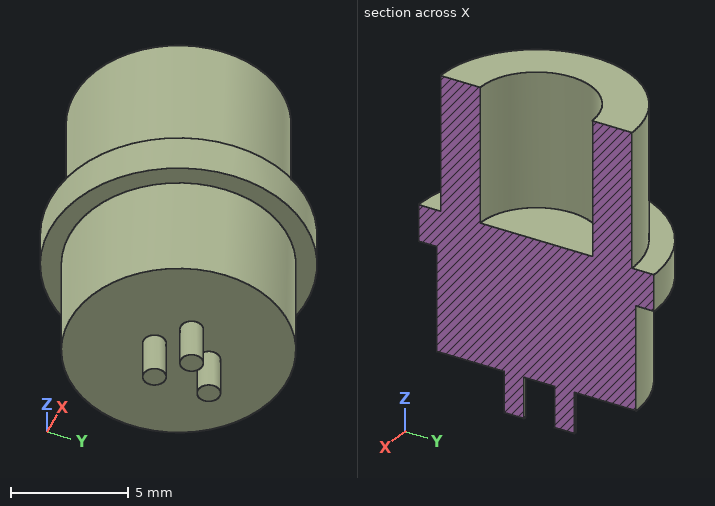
import cadquery as cq

lower_diameter = 10.0
lower_height = 5.1
flange_diameter = 11.8
flange_height = 1.8
upper_diameter = 9.6
upper_height = 6.6
body_height = lower_height + flange_height + upper_height

bore_diameter = 5.6
bore_depth = upper_height

pin_diameter = 1.0
pin_length = 2.0
pin_overlap = 0.5
side_pin_offset = 1.4
front_pin_offset = 1.12
pin_centres = [
    (0, side_pin_offset),
    (side_pin_offset, 0),
    (0, -front_pin_offset),
]


def cylinder(diameter, height, bottom, centre=(0, 0)):
    """Upright cylinder whose lower face is at Z = bottom."""
    disc = cq.Workplane("XY", origin=(centre[0], centre[1], bottom)).circle(diameter / 2)
    return disc.extrude(height)


def stepped_body():
    """Lower barrel, flange and upper barrel on one axis."""
    lower = cylinder(lower_diameter, lower_height, 0)
    flange = cylinder(flange_diameter, flange_height, lower_height)
    upper = cylinder(upper_diameter, upper_height, lower_height + flange_height)
    return lower.union(flange).union(upper)


def bore():
    """Round cutter for the blind bore in the top face."""
    return cylinder(bore_diameter, bore_depth, body_height - bore_depth)


def pin(centre):
    """One contact pin, running from its free end into the body."""
    return cylinder(pin_diameter, pin_length + pin_overlap, -pin_length, centre)


result = stepped_body().cut(bore())
for pin_centre in pin_centres:
    result = result.union(pin(pin_centre))